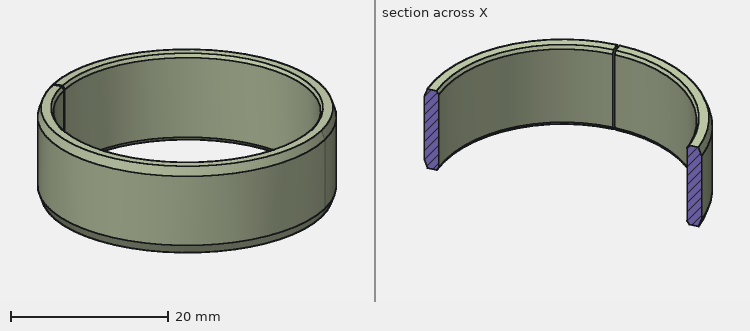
import cadquery as cq
import math

outer_radius = 19.0
wall = 2.0
height = 12.0
inner_radius = outer_radius - wall

outer_bevel_height = 1.2
outer_bevel_angle = math.radians(20)
outer_bevel_depth = outer_bevel_height * math.tan(outer_bevel_angle)
inner_bevel_depth = 0.3
inner_bevel_height = 0.5
slit_width = 0.3

half_height = height / 2
rim_outer_radius = outer_radius - outer_bevel_depth
rim_inner_radius = inner_radius + inner_bevel_depth


def bevelled_ring():
    """Revolve the wall section about Z, centred on the origin."""
    section = [
        (inner_radius, -half_height + inner_bevel_height),
        (rim_inner_radius, -half_height),
        (rim_outer_radius, -half_height),
        (outer_radius, -half_height + outer_bevel_height),
        (outer_radius, half_height - outer_bevel_height),
        (rim_outer_radius, half_height),
        (rim_inner_radius, half_height),
        (inner_radius, half_height - inner_bevel_height),
    ]
    return cq.Workplane("XZ").polyline(section).close().revolve(360, (0, 0), (0, 1))


def slit():
    """Cutter through the wall on the -X side only, with one face on the XZ plane."""
    cutter = cq.Workplane("XY").box(outer_radius, slit_width, height)
    return cutter.translate((-outer_radius, slit_width / 2, 0))


result = bevelled_ring().cut(slit())